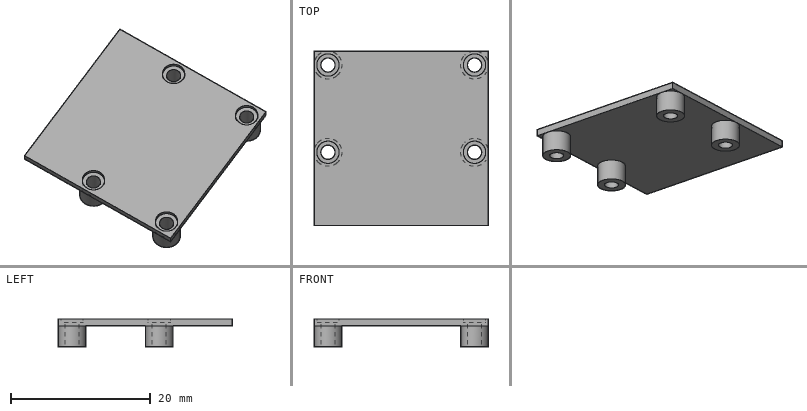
import cadquery as cq

plate_side = 25.0
plate_thickness = 1.0

post_diameter = 4.0
post_height = 3.0
post_row_spacing = 12.5

hole_diameter = 2.0
recess_diameter = 3.2
recess_depth = 0.5

post_offset = (plate_side - post_diameter) / 2
post_centers = [
    (x, y)
    for x in (-post_offset, post_offset)
    for y in (post_offset, post_offset - post_row_spacing)
]

plate = cq.Workplane("XY").rect(plate_side, plate_side).extrude(plate_thickness)

posts = (
    cq.Workplane("XY")
    .pushPoints(post_centers)
    .circle(post_diameter / 2)
    .extrude(-post_height)
)

result = (
    plate.union(posts)
    .faces(">Z")
    .workplane(origin=(0, 0, plate_thickness))
    .pushPoints(post_centers)
    .cboreHole(hole_diameter, recess_diameter, recess_depth)
)